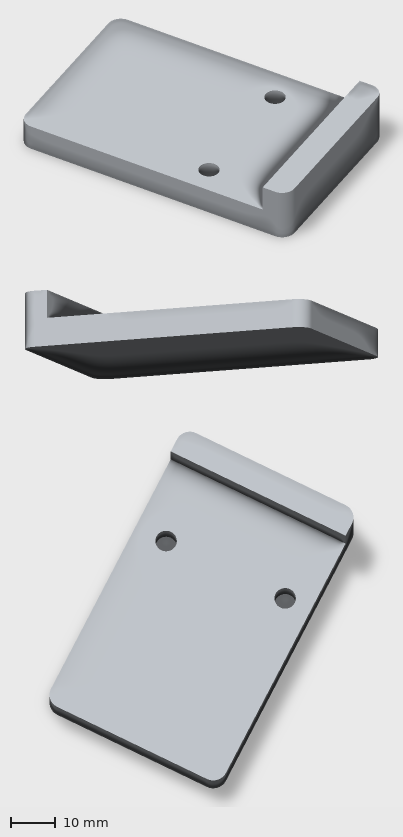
import cadquery as cq

length = 69.05
width = 43.65
height = 12.7
plate_thickness = height / 2
lip_width = plate_thickness
corner_radius = lip_width / 2

hole_diameter = 4.75
hole_depth = 4.75
hole_spacing = 29.7
hole_pair_offset = -0.6
hole_from_plain_end = 45.3
hole_x = hole_from_plain_end - length / 2


def make_body():
    """Rounded block, cut down to plate thickness everywhere but the lip."""
    block = (
        cq.Workplane("XY")
        .box(length, width, height, centered=(True, True, False))
        .edges("|Z")
        .fillet(corner_radius)
    )
    step = (
        cq.Workplane("XY")
        .box(length, width, height, centered=(True, True, False))
        .translate((-lip_width, 0, plate_thickness))
    )
    return block.cut(step)


def make_holes():
    """Two flat-bottomed cylinders, the pair slightly off the plate centreline."""
    return (
        cq.Workplane("XY", origin=(hole_x, hole_pair_offset, plate_thickness))
        .pushPoints([(0, -hole_spacing / 2), (0, hole_spacing / 2)])
        .circle(hole_diameter / 2)
        .extrude(-hole_depth)
    )


result = make_body().cut(make_holes())